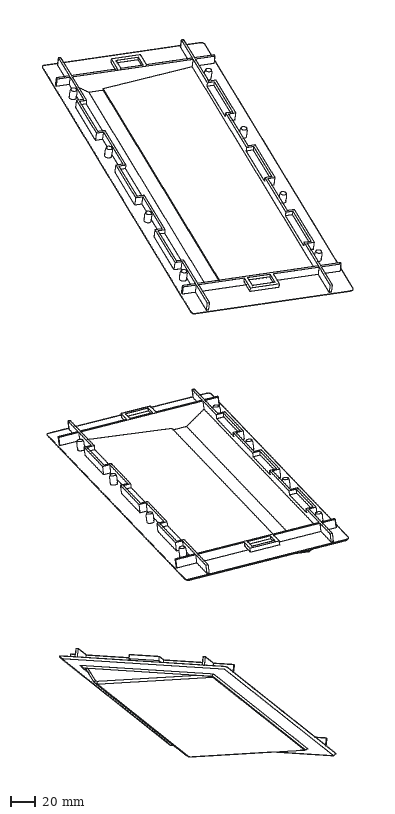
import cadquery as cq
import math

TILT = 7.0
PLATE_LENGTH = 345.75
PLATE_DEPTH = 145.25
PLATE_THICKNESS = 2.0
PLATE_CHAMFER = 1.9
CORNER_RADIUS = 3.0
PLATE_CENTRE_Z = 10.61

WALL = 2.0
RIB_HEIGHT = 7.5
RIB_INSET = 2.0
OPENING_HALF_LENGTH = 143.7
OPENING_HALF_DEPTH = 54.0
OPENING_SHIFT = -3.0

TAB_LENGTH = 45.8
TAB_STEP = 6.3
TAB_PITCH = 90.1
POCKET_FLOOR = 3.9

PIN_DIAMETER = 6.0
PIN_HEIGHT = 6.0
PIN_TIP_DIAMETER = 4.8
PIN_TIP_TOP = 8.1
PIN_POSITIONS = (-126.4, -45.2, 45.2, 126.4)
PIN_ROWS = (58.0, -62.6)

LOOP_DEPTH = 26.0
LOOP_REACH = 15.9
LOOP_WALL = 3.0
LOOP_HEIGHT = 3.6
LOOP_FLOOR = 1.0

FLOOR_Z = 4.2
STRIP_Z = 2.6
FLOOR_FRONT_Y = -28.4
STRIP_FRONT_Y = -41.2
FRONT_WALL_LEAN = 31.0
PAN_CHAMFER = 2.0
RIM_FLARE = 1.7

slope = math.tan(math.radians(TILT))
cosine = math.cos(math.radians(TILT))
sine = math.sin(math.radians(TILT))
opening_front = OPENING_SHIFT - OPENING_HALF_DEPTH
opening_rear = OPENING_SHIFT + OPENING_HALF_DEPTH


def block(x0, x1, v0, v1, w0, w1):
    """Box in the plate's own frame: v runs along the slope, w is normal to it."""
    return cq.Workplane("XY").box(x1 - x0, v1 - v0, w1 - w0, centered=False).translate((x0, v0, w0))


def tilted(body):
    """Move a body from the plate's frame to its place in the part."""
    return body.rotate((0, 0, 0), (1, 0, 0), -TILT).translate((0, 0, PLATE_CENTRE_Z))


def plate_point(v, w):
    """World (y, z) of a point in the plate's frame."""
    return (v * cosine + w * sine, PLATE_CENTRE_Z - v * sine + w * cosine)


def plate():
    body = cq.Workplane("XY").box(PLATE_LENGTH, PLATE_DEPTH, PLATE_THICKNESS, centered=(True, True, False))
    body = body.translate((0, 0, -PLATE_THICKNESS)).edges("|Z").fillet(CORNER_RADIUS)
    return body.faces("<Z").edges().chamfer(PLATE_CHAMFER)


def long_rib(side):
    """Rib along X with three pocketed sections stepped outward, on the +v or -v side."""
    inner = OPENING_HALF_DEPTH
    half = PLATE_LENGTH / 2 - RIB_INSET
    body = block(-half, half, inner, inner + WALL, 0, RIB_HEIGHT)
    for x in (-TAB_PITCH, 0, TAB_PITCH):
        x0 = x - TAB_LENGTH / 2
        x1 = x + TAB_LENGTH / 2
        body = body.union(block(x0, x1, inner, inner + TAB_STEP + WALL, 0, RIB_HEIGHT))
        body = body.cut(block(x0 + WALL, x1 - WALL, inner, inner + TAB_STEP, POCKET_FLOOR, RIB_HEIGHT))
    if side < 0:
        body = body.mirror("XZ")
    return body.translate((0, OPENING_SHIFT, 0))


def pin():
    """Locating pin with a tapered tip, standing on the plate."""
    shank = cq.Workplane("XY").circle(PIN_DIAMETER / 2).extrude(PIN_HEIGHT)
    tip = (
        cq.Workplane("XY", origin=(0, 0, PIN_HEIGHT))
        .circle(PIN_DIAMETER / 2)
        .workplane(offset=PIN_TIP_TOP - PIN_HEIGHT)
        .circle(PIN_TIP_DIAMETER / 2)
        .loft()
    )
    return shank.union(tip)


def short_rib():
    """Rib along the slope with its raised tray, on the +X side."""
    half = PLATE_DEPTH / 2 - RIB_INSET
    inner = OPENING_HALF_LENGTH
    body = block(inner, inner + WALL, -half, half, 0, RIB_HEIGHT)
    v0 = OPENING_SHIFT - LOOP_DEPTH / 2
    v1 = OPENING_SHIFT + LOOP_DEPTH / 2
    base = RIB_HEIGHT - LOOP_HEIGHT
    outer = inner + LOOP_REACH
    loop = block(inner, outer, v0, v1, base, RIB_HEIGHT)
    hollow = block(
        inner + WALL, outer - LOOP_WALL, v0 + LOOP_WALL, v1 - LOOP_WALL, base + LOOP_FLOOR, RIB_HEIGHT
    )
    return body.union(loop.cut(hollow))


def pan_outside():
    """Wedge under the plate, level below, with a leaning front wall."""
    half = OPENING_HALF_LENGTH + WALL
    top_rear = plate_point(opening_rear + WALL, -PLATE_THICKNESS / 2)
    top_front = plate_point(opening_front - WALL, -PLATE_THICKNESS / 2)
    foot = (top_front[0] + top_front[1] * math.tan(math.radians(FRONT_WALL_LEAN)), 0)
    outline = [top_rear, (top_rear[0], 0), foot, top_front]
    body = cq.Workplane("YZ").polyline(outline).close().extrude(half, both=True)
    foot_edges = body.faces("<Z").edges("not >Y")
    corner_edges = body.faces("<Y").edges("not |X")
    return foot_edges.add(corner_edges).chamfer(PAN_CHAMFER)


def rim_collar():
    """Flared collar around the pan, against the underside of the plate."""
    length = 2 * (OPENING_HALF_LENGTH + WALL)
    depth = 2 * (OPENING_HALF_DEPTH + WALL)
    body = (
        cq.Workplane("XY", origin=(0, OPENING_SHIFT, -PLATE_THICKNESS))
        .rect(length + 2 * RIM_FLARE, depth + 2 * RIM_FLARE)
        .workplane(offset=-RIM_FLARE)
        .rect(length, depth)
        .loft()
    )
    return tilted(body)


def pan_cavity():
    """Inside of the pan: level floor, small step, gentle strip and front ramp."""
    rear_top = plate_point(opening_rear, 0)
    front_top = plate_point(opening_front, 0)
    rear_foot = (rear_top[0] - (rear_top[1] - FLOOR_Z) * slope, FLOOR_Z)
    floor_front = (FLOOR_FRONT_Y, FLOOR_Z)
    strip_rear = (FLOOR_FRONT_Y, STRIP_Z)
    strip_front = (STRIP_FRONT_Y, STRIP_Z + (FLOOR_FRONT_Y - STRIP_FRONT_Y) * slope)
    outline = [rear_top, rear_foot, floor_front, strip_rear, strip_front, front_top]
    return cq.Workplane("YZ").polyline(outline).close().extrude(OPENING_HALF_LENGTH, both=True)


result = tilted(plate()).union(pan_outside()).union(rim_collar()).cut(pan_cavity())
end_rib = short_rib()
for rib in (long_rib(1), long_rib(-1), end_rib, end_rib.mirror("YZ")):
    result = result.union(tilted(rib))
for x in PIN_POSITIONS:
    for v in PIN_ROWS:
        result = result.union(tilted(pin().translate((x, v, 0))))